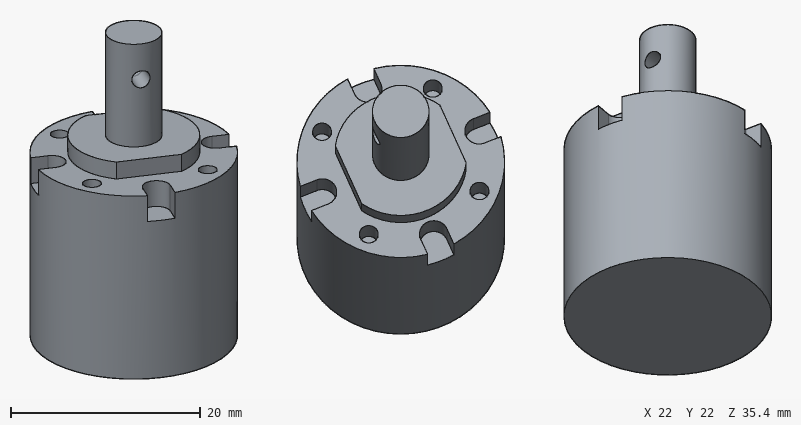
import cadquery as cq

total_height = 35.4
shaft_length = 12.0
flange_height = 2.0
body_height = total_height - flange_height - shaft_length

body_diameter = 22.0
flange_diameter = 14.0
flange_width = 12.0
shaft_diameter = 6.0

slot_count = 4
slot_width = 3.0
slot_depth = 3.0
slot_end_radius = 9.0

face_hole_count = 4
face_hole_diameter = 2.0
face_hole_circle_radius = 9.0
face_hole_depth = 3.0
face_hole_start_angle = 45

cross_hole_diameter = 2.0
cross_hole_below_tip = 4.15


def make_body():
    return cq.Workplane("XY").circle(body_diameter / 2).extrude(body_height)


def make_flange():
    """Round flange with two flats facing -X and +X."""
    disc = cq.Workplane("XY", origin=(0, 0, body_height)).circle(flange_diameter / 2).extrude(flange_height)
    flats = cq.Workplane("XY").rect(flange_width, flange_diameter).extrude(total_height)
    return disc.intersect(flats)


def make_shaft():
    """Shaft starting on the body, passing through the flange."""
    shaft = (
        cq.Workplane("XY", origin=(0, 0, body_height))
        .circle(shaft_diameter / 2)
        .extrude(flange_height + shaft_length)
    )
    cross_hole = (
        cq.Workplane("YZ", origin=(0, 0, total_height - cross_hole_below_tip))
        .circle(cross_hole_diameter / 2)
        .extrude(shaft_diameter, both=True)
    )
    return shaft.cut(cross_hole)


def make_slot_cutter():
    """Slot along +X with a round inner end, open through the body rim."""
    slot_length = body_diameter / 2
    cutter_base = cq.Workplane("XY", origin=(slot_end_radius, 0, body_height - slot_depth))
    round_end = cutter_base.circle(slot_width / 2).extrude(slot_depth)
    straight = cutter_base.rect(slot_length, slot_width).extrude(slot_depth).translate((slot_length / 2, 0, 0))
    return round_end.union(straight)


body = make_body()
slot_cutter = make_slot_cutter()
for index in range(slot_count):
    body = body.cut(slot_cutter.rotate((0, 0, 0), (0, 0, 1), index * 360 / slot_count))

face_holes = (
    cq.Workplane("XY", origin=(0, 0, body_height))
    .polarArray(face_hole_circle_radius, face_hole_start_angle, 360, face_hole_count)
    .circle(face_hole_diameter / 2)
    .extrude(-face_hole_depth)
)
body = body.cut(face_holes)

result = body.union(make_flange()).union(make_shaft())